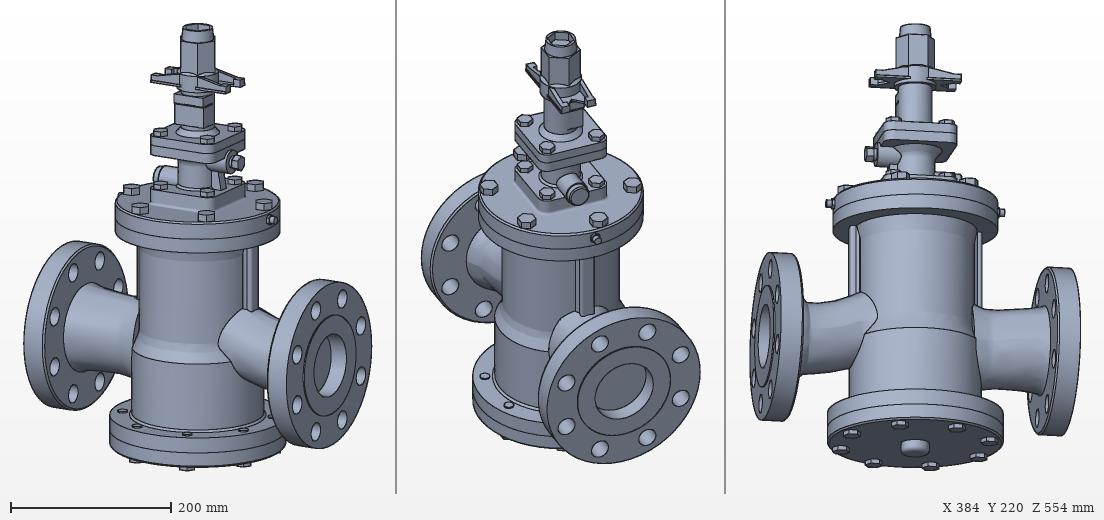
import cadquery as cq
import math

PIPE_AXIS_Z = 143.0

BOTTOM_COVER_BASE = 14.0
BOTTOM_JOINT_Z = 33.0
BOTTOM_FLANGE_TOP = 52.5
LOWER_BARREL_TOP = 140.5
UPPER_BARREL_BASE = 158.5
STEP_FILLET = 22.0
FLARE_Z = 270.5
TOP_FLANGE_BASE = 290.5
COVER_JOINT_Z = 308.0
COVER_TOP = 329.5
PILOT_PLATE_TOP = 349.5
BONNET_PLATE_BASE = 394.0
BONNET_JOINT_Z = 406.5
BONNET_PLATE_TOP = 418.0
STEM_FILLET_TOP = 425.5
COLLAR_BASE = 476.5
COLLAR_TOP = 497.5
HEX_BASE = 501.0
HEX_TOP = 539.5
TOP_Z = 554.0

BOTTOM_FLANGE_D = 220.0
TOP_FLANGE_D = 206.0
EDGE_CHAMFER = 2.0
BOTTOM_BOLTS = 8
BOTTOM_BOLT_R = 95.0
BOTTOM_BOLT_D = 21.5
BOTTOM_BOLT_H = 5.5
STUD_D = 12.0
STUD_H = 1.5
PLUG_D = 35.5
PLUG_ROUND = 5.5
TOP_BOLTS = 6
TOP_BOLT_R = 90.0
TOP_BOLT_ANGLE = 7.4
TOP_BOLT_D = 23.0
TOP_BOLT_H = 9.0

LOWER_BARREL_R = 82.5
UPPER_BARREL_R = 73.0
FLARE_R = 77.0
BARREL_FOOT_FILLET = 3.0
RIB_BASE_Z = 166.0
RIB_REACH = 83.5
RIB_WIDTH = 19.0
RIB_FOOT_WIDTH = 25.5
RIB_FOOT_REACH = 77.0
RIB_ROUND = 3.5

PIPE_END_X = 384.0 / 2
RAISED_FACE_D = 127.5
RAISED_FACE_H = 1.5
PIPE_FLANGE_D = 210.0
PIPE_FLANGE_BACK_X = 161.0
BORE_D = 80.0
BORE_DEPTH = 22.0
PIPE_HOLES = 8
PIPE_HOLE_D = 23.0
PIPE_HOLE_R = 85.0

LEFT_PIPE_SECTIONS = (
    (-PIPE_FLANGE_BACK_X, PIPE_AXIS_Z, 56.5, 56.5),
    (-137.5, PIPE_AXIS_Z, 51.5, 51.5),
    (-102.5, PIPE_AXIS_Z - 1.5, 45.0, 50.0),
    (-86.0, PIPE_AXIS_Z - 3.0, 43.0, 51.5),
    (-66.5, PIPE_AXIS_Z - 5.0, 47.0, 62.0),
)
RIGHT_PIPE_SECTIONS = (
    (50.0, 163.0, 49.0, 55.5),
    (66.5, 159.0, 44.0, 49.0),
    (83.0, 154.0, 42.5, 46.0),
    (105.0, 147.0, 43.0, 45.0),
    (132.0, PIPE_AXIS_Z, 44.5, 44.5),
    (144.0, PIPE_AXIS_Z, 47.5, 47.5),
    (PIPE_FLANGE_BACK_X, PIPE_AXIS_Z, 56.5, 56.5),
)

PLATE_SIZE = 92.5
PLATE_CORNER_R = 12.0
PLATE_FOOT_FILLET = 3.5
SMALL_BOLT_PITCH = 67.5
SMALL_BOLT_D = 20.0
SMALL_BOLT_H = 6.0

NECK_D = 49.5
NECK_FLARE_R = 34.0
NECK_FLARE_Z = 383.5
NECK_FILLET = 8.5
NECK_FOOT_FILLET = 3.0
PORT_D = 30.0
LOW_PORT_Z = 353.0
LOW_PORT_REACH = 49.0
LOW_PLUG_D = 27.0
LOW_PLUG_REACH = 57.5
LOW_PLUG_CHAMFER = 1.5
HIGH_PORT_Z = 386.5
HIGH_PORT_REACH = 50.0
HIGH_PLUG_STUB_D = 15.5
HIGH_PLUG_STUB_REACH = 54.0
HIGH_PLUG_HEX_D = 19.5
HIGH_PLUG_REACH = 63.0
GUSSET_WIDTH = 13.5
GUSSET_TOP_X = 31.0
GUSSET_FOOT_X = 37.5

VENT_Z = 319.5
VENT_ROOT_DEPTH = 5.5
VENT_HEX_D = 13.5
VENT_HEX_REACH = 106.5
VENT_STEM_D = 9.5
VENT_REACH = 113.0

STEM_D = 42.0
STEM_FILLET_D = 55.0
BLOCK_Z = (431.0, 457.0, 470.5)
BLOCK_REACH = 21.0
BLOCK_LIP_REACH = 22.5
BLOCK_GROOVE = 1.5
COLLAR_D = 52.0
CAP_HEX_D = 49.5
CAP_NOSE_BASE_D = 40.5
CAP_NOSE_TOP_D = 37.0
SOCKET_HEX_D = 34.0
SOCKET_DEPTH = 11.0
HANDLE_REACH = 54.5
HANDLE_BASE_Z = 481.0
WEB_H = 3.0
RAIL_OUTER_Y = 24.0
RAIL_INNER_Y = 17.0
RAIL_INSET = 1.0
RAIL_TIP_Z = 490.5
RAIL_ROOT_Z = 496.5
RAIL_ROOT_X = 16.5
TIP_LENGTH = 9.5
TIP_INNER_Y = 12.0
NOTCH_X = 32.5


def disc(diameter, z_low, z_high):
    return cq.Workplane("XY").workplane(offset=z_low).circle(diameter / 2).extrude(z_high - z_low)


def hexagon(corner_d, z_low, z_high):
    return cq.Workplane("XY").workplane(offset=z_low).polygon(6, corner_d).extrude(z_high - z_low)


def revolved(profile):
    """Solid of revolution about Z from (radius, z) points."""
    return cq.Workplane("XZ").polyline(profile).close().revolve(360, (0, 0, 0), (0, 1, 0))


def circle_at(z):
    """Selector for the circle centred on the Z axis nearest to a height."""
    return cq.selectors.NearestToPointSelector((0, 0, z))


def x_rod(diameter, x_start, x_end, z):
    """Round rod along X."""
    rod = cq.Workplane("YZ").workplane(offset=x_start).circle(diameter / 2).extrude(x_end - x_start)
    return rod.translate((0, 0, z))


def x_hexagon(corner_d, x_start, x_end, z):
    """Hexagonal rod along X with corners at its top and bottom."""
    rod = cq.Workplane("YZ").workplane(offset=x_start).transformed(rotate=(0, 0, 90))
    return rod.polygon(6, corner_d).extrude(x_end - x_start).translate((0, 0, z))


def ring_points(count, radius, start_angle):
    angles = [math.radians(start_angle + 360 * i / count) for i in range(count)]
    return [(radius * math.cos(a), radius * math.sin(a)) for a in angles]


def square_plate(z_low, z_high):
    plate = cq.Workplane("XY").workplane(offset=z_low).rect(PLATE_SIZE, PLATE_SIZE)
    return plate.extrude(z_high - z_low).edges("|Z").fillet(PLATE_CORNER_R)


def plate_bolts(z_low):
    """Four hexagon heads on a square plate."""
    heads = cq.Workplane("XY").workplane(offset=z_low)
    heads = heads.rect(SMALL_BOLT_PITCH, SMALL_BOLT_PITCH, forConstruction=True).vertices()
    return heads.polygon(6, SMALL_BOLT_D).extrude(SMALL_BOLT_H)


def make_barrel():
    bottom_r = BOTTOM_FLANGE_D / 2
    top_r = TOP_FLANGE_D / 2
    barrel = revolved([
        (0, BOTTOM_JOINT_Z),
        (bottom_r, BOTTOM_JOINT_Z),
        (bottom_r, BOTTOM_FLANGE_TOP),
        (LOWER_BARREL_R + BARREL_FOOT_FILLET, BOTTOM_FLANGE_TOP),
        (LOWER_BARREL_R, BOTTOM_FLANGE_TOP + BARREL_FOOT_FILLET),
        (LOWER_BARREL_R, LOWER_BARREL_TOP),
        (UPPER_BARREL_R, UPPER_BARREL_BASE),
        (UPPER_BARREL_R, FLARE_Z),
        (FLARE_R, TOP_FLANGE_BASE),
        (top_r, TOP_FLANGE_BASE),
        (top_r, COVER_JOINT_Z),
        (0, COVER_JOINT_Z),
    ])
    return barrel.edges(circle_at(UPPER_BARREL_BASE)).fillet(STEP_FILLET)


def make_pipe(sections):
    """Smooth pipe through (x, centre z, half width in Y, half height in Z) ellipses."""
    path = cq.Workplane("YZ")
    last_x = 0
    for x, centre_z, half_y, half_z in sections:
        path = path.workplane(offset=x - last_x).center(0, centre_z)
        path = path.ellipse(half_y, half_z).center(0, -centre_z)
        last_x = x
    return path.loft(combine=True)


def make_pipe_flange():
    """Flange on the +X side, without its holes."""
    face_x = PIPE_END_X - RAISED_FACE_H
    flange = x_rod(PIPE_FLANGE_D, PIPE_FLANGE_BACK_X, face_x, PIPE_AXIS_Z).edges("<X").chamfer(EDGE_CHAMFER)
    return flange.union(x_rod(RAISED_FACE_D, face_x, PIPE_END_X, PIPE_AXIS_Z))


def make_pipe_cuts():
    """Blind bore and bolt holes of the +X flange."""
    cuts = x_rod(BORE_D, PIPE_END_X - BORE_DEPTH, PIPE_END_X, PIPE_AXIS_Z)
    for y, z in ring_points(PIPE_HOLES, PIPE_HOLE_R, 180 / PIPE_HOLES):
        hole = x_rod(PIPE_HOLE_D, PIPE_FLANGE_BACK_X, PIPE_END_X, PIPE_AXIS_Z + z)
        cuts = cuts.union(hole.translate((0, y, 0)))
    return cuts


def make_side_ribs():
    """Bar along X whose rounded ends form the vertical rib on each side of the upper barrel."""
    half = RIB_WIDTH / 2
    foot_half = RIB_FOOT_WIDTH / 2
    ribs = cq.Workplane("XY").workplane(offset=RIB_BASE_Z).polyline([
        (-RIB_REACH, -half),
        (-RIB_FOOT_REACH, -half),
        (-UPPER_BARREL_R, -foot_half),
        (UPPER_BARREL_R, -foot_half),
        (RIB_FOOT_REACH, -half),
        (RIB_REACH, -half),
        (RIB_REACH, half),
        (RIB_FOOT_REACH, half),
        (UPPER_BARREL_R, foot_half),
        (-UPPER_BARREL_R, foot_half),
        (-RIB_FOOT_REACH, half),
        (-RIB_REACH, half),
    ]).close().extrude(TOP_FLANGE_BASE - RIB_BASE_Z)
    return ribs.edges("|Z and (<X or >X)").fillet(RIB_ROUND)


def make_valve_body():
    left_pipe = make_pipe(LEFT_PIPE_SECTIONS)
    right_pipe = make_pipe(RIGHT_PIPE_SECTIONS)
    body = make_barrel().union(left_pipe).union(right_pipe)
    body = body.union(make_side_ribs())
    for turn in (0, 180):
        flange = make_pipe_flange().rotate((0, 0, 0), (0, 0, 1), turn)
        cuts = make_pipe_cuts().rotate((0, 0, 0), (0, 0, 1), turn)
        body = body.union(flange).cut(cuts)
    studs = cq.Workplane("XY").workplane(offset=BOTTOM_FLANGE_TOP)
    studs = studs.pushPoints(ring_points(BOTTOM_BOLTS, BOTTOM_BOLT_R, 180 / BOTTOM_BOLTS))
    return body.union(studs.circle(STUD_D / 2).extrude(STUD_H))


def make_bottom_cover():
    cover = disc(BOTTOM_FLANGE_D, BOTTOM_COVER_BASE, BOTTOM_JOINT_Z).faces("<Z").edges().chamfer(EDGE_CHAMFER)
    heads = cq.Workplane("XY").workplane(offset=BOTTOM_COVER_BASE - BOTTOM_BOLT_H)
    heads = heads.pushPoints(ring_points(BOTTOM_BOLTS, BOTTOM_BOLT_R, 180 / BOTTOM_BOLTS))
    heads = heads.polygon(6, BOTTOM_BOLT_D).extrude(BOTTOM_BOLT_H)
    plug = disc(PLUG_D, 0, BOTTOM_COVER_BASE).faces("<Z").edges().fillet(PLUG_ROUND)
    return cover.union(heads).union(plug)


def make_vent_screw():
    rim_x = TOP_FLANGE_D / 2 - VENT_ROOT_DEPTH
    screw = x_hexagon(VENT_HEX_D, rim_x, VENT_HEX_REACH, VENT_Z)
    return screw.union(x_rod(VENT_STEM_D, rim_x, VENT_REACH, VENT_Z))


def make_pilot_ports():
    low_port = x_rod(PORT_D, -LOW_PORT_REACH, 0, LOW_PORT_Z)
    low_plug = x_rod(LOW_PLUG_D, -LOW_PLUG_REACH, -LOW_PORT_REACH, LOW_PORT_Z)
    low_plug = low_plug.edges("<X").chamfer(LOW_PLUG_CHAMFER)
    high_port = x_rod(PORT_D, 0, HIGH_PORT_REACH, HIGH_PORT_Z)
    high_stub = x_rod(HIGH_PLUG_STUB_D, HIGH_PORT_REACH, HIGH_PLUG_STUB_REACH, HIGH_PORT_Z)
    high_plug = x_hexagon(HIGH_PLUG_HEX_D, HIGH_PLUG_STUB_REACH, HIGH_PLUG_REACH, HIGH_PORT_Z)
    gusset = cq.Workplane("XZ").polyline([
        (0, PILOT_PLATE_TOP),
        (GUSSET_FOOT_X, PILOT_PLATE_TOP),
        (GUSSET_TOP_X, HIGH_PORT_Z),
        (0, HIGH_PORT_Z),
    ]).close().extrude(GUSSET_WIDTH / 2, both=True)
    ports = low_port.union(low_plug).union(high_port).union(high_stub)
    return ports.union(high_plug).union(gusset)


def make_top_cover():
    cover = disc(TOP_FLANGE_D, COVER_JOINT_Z, COVER_TOP).faces(">Z").edges().chamfer(EDGE_CHAMFER)
    cover = cover.union(square_plate(COVER_TOP, PILOT_PLATE_TOP))
    plate_foot = cover.faces("+Z").faces("<Z").wires().item(1)
    cover = plate_foot.edges().fillet(PLATE_FOOT_FILLET)
    neck_r = NECK_D / 2
    neck = revolved([
        (0, PILOT_PLATE_TOP),
        (neck_r + NECK_FOOT_FILLET, PILOT_PLATE_TOP),
        (neck_r, PILOT_PLATE_TOP + NECK_FOOT_FILLET),
        (neck_r, NECK_FLARE_Z),
        (NECK_FLARE_R, BONNET_PLATE_BASE),
        (0, BONNET_PLATE_BASE),
    ])
    neck = neck.edges(circle_at(NECK_FLARE_Z)).fillet(NECK_FILLET)
    cover = cover.union(neck).union(square_plate(BONNET_PLATE_BASE, BONNET_JOINT_Z))
    cover = cover.union(make_pilot_ports()).union(plate_bolts(PILOT_PLATE_TOP))
    for x, y in ring_points(TOP_BOLTS, TOP_BOLT_R, TOP_BOLT_ANGLE):
        cover = cover.union(hexagon(TOP_BOLT_D, COVER_TOP, COVER_TOP + TOP_BOLT_H).translate((x, y, 0)))
    for turn in (0, 180):
        cover = cover.union(make_vent_screw().rotate((0, 0, 0), (0, 0, 1), turn))
    return cover


def make_stem_block():
    """Square-fronted block on the -Y side of the stem, with a grooved lip on top."""
    foot_z, groove_z, top_z = BLOCK_Z
    block_y = -BLOCK_REACH / 2
    block = cq.Workplane("XY", origin=(0, block_y, foot_z)).rect(2 * BLOCK_REACH, BLOCK_REACH)
    block = block.extrude(groove_z - foot_z)
    lip_z = groove_z + BLOCK_GROOVE
    lip_y = -BLOCK_LIP_REACH / 2
    lip = cq.Workplane("XY", origin=(0, lip_y, lip_z)).rect(2 * BLOCK_REACH, BLOCK_LIP_REACH)
    lip = lip.extrude(top_z - lip_z)
    return block.union(lip)


def make_handle():
    """Two tapering rails joined by a thin web that is notched at both ends."""
    tip_x = HANDLE_REACH - TIP_LENGTH
    rail_outer_y = RAIL_OUTER_Y - RAIL_INSET
    web = cq.Workplane("XY").workplane(offset=HANDLE_BASE_Z).polyline([
        (-HANDLE_REACH, -RAIL_OUTER_Y),
        (HANDLE_REACH, -RAIL_OUTER_Y),
        (HANDLE_REACH, -TIP_INNER_Y),
        (tip_x, -TIP_INNER_Y),
        (NOTCH_X, 0),
        (tip_x, TIP_INNER_Y),
        (HANDLE_REACH, TIP_INNER_Y),
        (HANDLE_REACH, RAIL_OUTER_Y),
        (-HANDLE_REACH, RAIL_OUTER_Y),
        (-HANDLE_REACH, TIP_INNER_Y),
        (-tip_x, TIP_INNER_Y),
        (-NOTCH_X, 0),
        (-tip_x, -TIP_INNER_Y),
        (-HANDLE_REACH, -TIP_INNER_Y),
    ]).close().extrude(WEB_H)
    rail = cq.Workplane("XZ").polyline([
        (-HANDLE_REACH, HANDLE_BASE_Z),
        (HANDLE_REACH, HANDLE_BASE_Z),
        (HANDLE_REACH, RAIL_TIP_Z),
        (tip_x, RAIL_TIP_Z),
        (RAIL_ROOT_X, RAIL_ROOT_Z),
        (-RAIL_ROOT_X, RAIL_ROOT_Z),
        (-tip_x, RAIL_TIP_Z),
        (-HANDLE_REACH, RAIL_TIP_Z),
    ]).close().extrude(rail_outer_y - RAIL_INNER_Y)
    tip_width = rail_outer_y - TIP_INNER_Y
    tip_height = RAIL_TIP_Z - HANDLE_BASE_Z
    tip = cq.Workplane("XY").rect(TIP_LENGTH, tip_width).extrude(tip_height)
    handle = web
    for side in (-1, 1):
        rail_y = rail_outer_y if side > 0 else -RAIL_INNER_Y
        handle = handle.union(rail.translate((0, rail_y, 0)))
        for end in (-1, 1):
            tip_centre = (end * (tip_x + TIP_LENGTH / 2), side * (TIP_INNER_Y + tip_width / 2), HANDLE_BASE_Z)
            handle = handle.union(tip.translate(tip_centre))
    return handle


def make_adjusting_cap():
    cap = hexagon(CAP_HEX_D, COLLAR_TOP, HEX_TOP)
    nose = revolved([
        (0, HEX_TOP),
        (CAP_NOSE_BASE_D / 2, HEX_TOP),
        (CAP_NOSE_TOP_D / 2, TOP_Z),
        (0, TOP_Z),
    ])
    return cap.union(nose).cut(hexagon(SOCKET_HEX_D, TOP_Z - SOCKET_DEPTH, TOP_Z))


def make_bonnet():
    stem_r = STEM_D / 2
    collar_r = COLLAR_D / 2
    stem = revolved([
        (0, BONNET_PLATE_TOP),
        (STEM_FILLET_D / 2, BONNET_PLATE_TOP),
        (stem_r, STEM_FILLET_TOP),
        (stem_r, COLLAR_BASE),
        (collar_r, COLLAR_BASE),
        (collar_r, COLLAR_TOP),
        (stem_r, HEX_BASE),
        (0, HEX_BASE),
    ])
    bonnet = square_plate(BONNET_JOINT_Z, BONNET_PLATE_TOP).union(stem)
    bonnet = bonnet.union(plate_bolts(BONNET_PLATE_TOP)).union(make_stem_block())
    return bonnet.union(make_handle()).union(make_adjusting_cap())


valve_body = make_valve_body()
bottom_cover = make_bottom_cover()
top_cover = make_top_cover()
bonnet = make_bonnet()

result = cq.Compound.makeCompound([
    valve_body.val(),
    bottom_cover.val(),
    top_cover.val(),
    bonnet.val(),
])